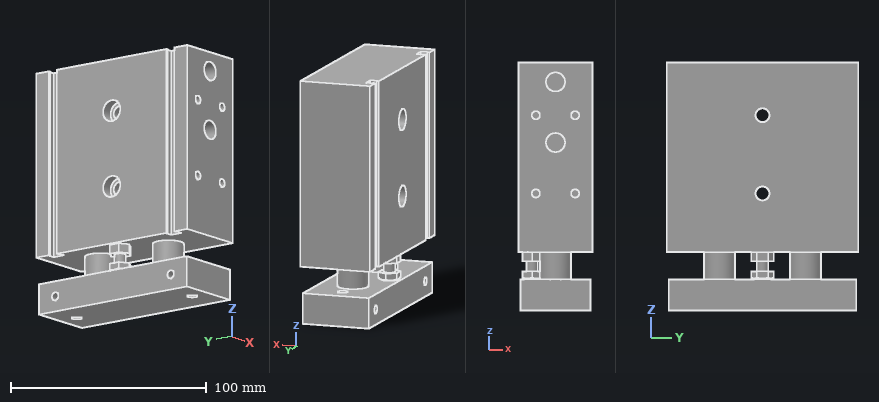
import cadquery as cq
import math

HOUSING_X = 38.0
HOUSING_Y = 98.0
TOTAL_HEIGHT = 127.0

PLATE_X = 36.0
PLATE_Y = 96.0
PLATE_HEIGHT = 16.0
ROD_DIAMETER = 16.0
ROD_OFFSET_Y = 22.0
GAP = 14.0
HOUSING_BOTTOM = PLATE_HEIGHT + GAP
HOUSING_HEIGHT = TOTAL_HEIGHT - HOUSING_BOTTOM

SLOT_OFFSET_Y = 38.1
SLOT_MOUTH = 5.2
SLOT_INNER_WIDTH = 6.5
SLOT_LIP = 1.3
SLOT_DEPTH = 4.8

BOLT_ROW_DEPTHS = (27.0, 67.0)
MOUNT_DIAMETER = 7.0
COUNTERBORE_DIAMETER = 11.0
COUNTERBORE_DEPTH = 6.2
PORT_DIAMETER = 9.8
PORT_DEPTH = 10.0
PORT_DEPTHS_BELOW_TOP = (10.0, 41.0)
SMALL_HOLE_DIAMETER = 4.2
SMALL_HOLE_DEPTH = 10.0
SIDE_HOLE_OFFSET_X = 10.0

PLATE_HOLE_OFFSET_Y = 37.5
PLATE_VERTICAL_DIAMETER = 5.2

BOLT_X = -12.0
BOLT_DIAMETER = 6.0
HEX_FLATS = 10.0
HEAD_HEIGHT = 4.7
NUT_HEIGHT = 4.1
NUT_BASE_DIAMETER = 8.4
NUT_CHAMFER_ANGLE = 30.0


def block(size_x, size_y, height, bottom):
    """Box centred on the Z axis with its underside at the given height."""
    return cq.Workplane("XY", origin=(0, 0, bottom)).rect(size_x, size_y).extrude(height)


def hole(start, direction, diameter, depth):
    """Cylinder used as a cutter, from a start point along a direction."""
    return cq.Workplane(
        cq.Solid.makeCylinder(diameter / 2, depth, cq.Vector(*start), cq.Vector(*direction))
    )


def slot_cutter(center_y):
    """T-slot running the full height of the housing."""
    face_x = -HOUSING_X / 2
    base = cq.Workplane("XY", origin=(face_x, center_y, HOUSING_BOTTOM))
    mouth = base.rect(2 * SLOT_DEPTH, SLOT_MOUTH).extrude(HOUSING_HEIGHT)
    inner_depth = SLOT_DEPTH - SLOT_LIP
    inner = (
        base.center(SLOT_LIP + inner_depth / 2, 0)
        .rect(inner_depth, SLOT_INNER_WIDTH)
        .extrude(HOUSING_HEIGHT)
    )
    return mouth.union(inner)


def make_housing():
    body = block(HOUSING_X, HOUSING_Y, HOUSING_HEIGHT, HOUSING_BOTTOM)
    for side in (-1, 1):
        body = body.cut(slot_cutter(side * SLOT_OFFSET_Y))

    for depth_below_top in BOLT_ROW_DEPTHS:
        z = TOTAL_HEIGHT - depth_below_top
        start = (-HOUSING_X / 2, 0, z)
        body = body.cut(hole(start, (1, 0, 0), MOUNT_DIAMETER, HOUSING_X))
        body = body.cut(hole(start, (1, 0, 0), COUNTERBORE_DIAMETER, COUNTERBORE_DEPTH))
        for side in (-1, 1):
            start = (side * SIDE_HOLE_OFFSET_X, -HOUSING_Y / 2, z)
            body = body.cut(hole(start, (0, 1, 0), SMALL_HOLE_DIAMETER, SMALL_HOLE_DEPTH))

    for depth_below_top in PORT_DEPTHS_BELOW_TOP:
        start = (0, -HOUSING_Y / 2, TOTAL_HEIGHT - depth_below_top)
        body = body.cut(hole(start, (0, 1, 0), PORT_DIAMETER, PORT_DEPTH))
    return body


def make_plate_with_rods():
    body = block(PLATE_X, PLATE_Y, PLATE_HEIGHT, 0)
    rods = (
        cq.Workplane("XY", origin=(0, 0, PLATE_HEIGHT))
        .pushPoints([(0, -ROD_OFFSET_Y), (0, ROD_OFFSET_Y)])
        .circle(ROD_DIAMETER / 2)
        .extrude(GAP)
    )
    body = body.union(rods)
    for side in (-1, 1):
        y = side * PLATE_HOLE_OFFSET_Y
        body = body.cut(hole((0, y, 0), (0, 0, 1), PLATE_VERTICAL_DIAMETER, PLATE_HEIGHT))
        edge_start = (-PLATE_X / 2, y, PLATE_HEIGHT / 2)
        body = body.cut(hole(edge_start, (1, 0, 0), SMALL_HOLE_DIAMETER, SMALL_HOLE_DEPTH))
    return body


def hexagon(bottom, height):
    """Hexagonal prism on the bolt axis with corners pointing along Y."""
    across_corners = HEX_FLATS / math.cos(math.pi / 6)
    prism = cq.Workplane("XY").polygon(6, across_corners).extrude(height)
    return prism.rotate((0, 0, 0), (0, 0, 1), 90).translate((BOLT_X, 0, bottom))


def make_nut():
    """Hexagonal nut whose lower edge is chamfered by a cone down to a round seat."""
    base_radius = NUT_BASE_DIAMETER / 2
    top_radius = base_radius + NUT_HEIGHT / math.tan(math.radians(NUT_CHAMFER_ANGLE))
    cone = cq.Workplane(
        cq.Solid.makeCone(base_radius, top_radius, NUT_HEIGHT, cq.Vector(BOLT_X, 0, PLATE_HEIGHT))
    )
    return hexagon(PLATE_HEIGHT, NUT_HEIGHT).intersect(cone)


def make_stop_bolt():
    shank = hole((BOLT_X, 0, PLATE_HEIGHT), (0, 0, 1), BOLT_DIAMETER, GAP)
    head = hexagon(HOUSING_BOTTOM - HEAD_HEIGHT, HEAD_HEIGHT)
    return shank.union(head).union(make_nut())


housing = make_housing()
plate_with_rods = make_plate_with_rods()
stop_bolt = make_stop_bolt()

result = cq.Compound.makeCompound([housing.val(), plate_with_rods.val(), stop_bolt.val()])